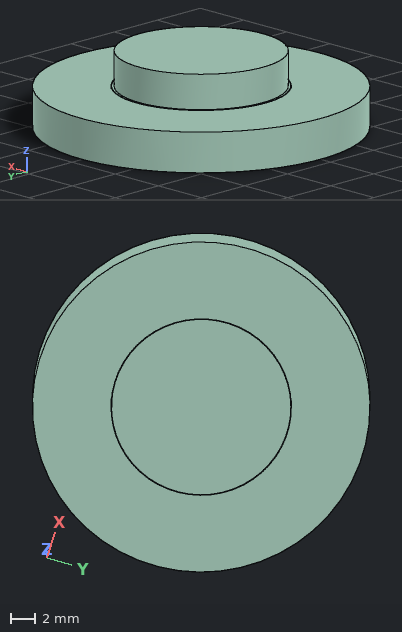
import cadquery as cq

disc_diameter = 27.7
disc_height = 3.5
hole_diameter = 14.8

total_height = 6.5
post_diameter = 14.3
collar_diameter = 14.7
collar_height = disc_height


def make_disc():
    """Flat disc on the base plane, bored through its centre."""
    return (
        cq.Workplane("XY")
        .circle(disc_diameter / 2)
        .circle(hole_diameter / 2)
        .extrude(disc_height)
    )


def make_plug():
    """Collar filling the hole with a small clearance, and a narrower post above it."""
    collar = cq.Workplane("XY").circle(collar_diameter / 2).extrude(collar_height)
    post = cq.Workplane("XY").circle(post_diameter / 2).extrude(total_height)
    return collar.union(post)


disc = make_disc()
plug = make_plug()

result = cq.Compound.makeCompound([disc.val(), plug.val()])